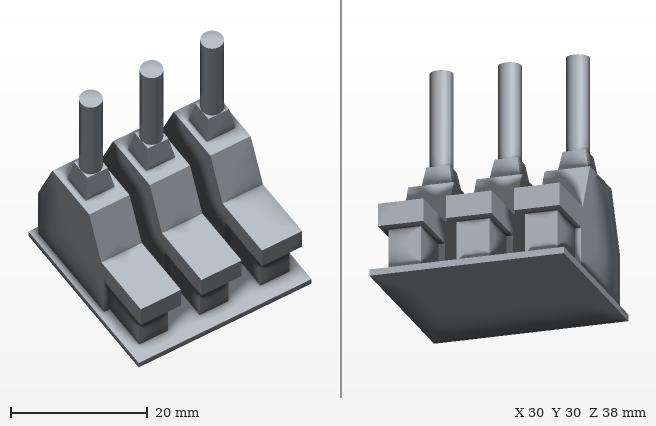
import cadquery as cq

plate_side = 30.0
plate_height = 1.0

plug_count = 3
plate_margin = 1.0
plug_width = 7.0
body_height = 18.0
shoulder_height = 9.0
latch_top = 10.5
latch_thickness = 3.5
body_length = 18.0
rear_slope_run = 4.0
top_length = 10.0
nose_length = 8.0
nose_width = 5.0

boot_base = 5.0
boot_top = 3.57
boot_height = 4.0
cable_diameter = 3.5
total_height = 38.0

row_side = plate_side - 2 * plate_margin
plug_pitch = (row_side - plug_width) / (plug_count - 1)
rear_x = -row_side / 2
latch_end_x = row_side / 2
latch_bottom = latch_top - latch_thickness
step_x = rear_x + body_length
top_rear_x = rear_x + rear_slope_run
top_front_x = top_rear_x + top_length
slope_run_per_height = rear_slope_run / (body_height - shoulder_height)
front_slope_run = (body_height - latch_top) * slope_run_per_height
cable_x = (top_rear_x + top_front_x) / 2
boot_z = plate_height + body_height
cable_z = boot_z + boot_height


def make_body():
    """Side profile of the plug, centred on Y, with its foot on the plate."""
    profile = [
        (rear_x, 0),
        (rear_x, shoulder_height),
        (top_rear_x, body_height),
        (top_front_x, body_height),
        (top_front_x + front_slope_run, latch_top),
        (latch_end_x, latch_top),
        (latch_end_x, latch_bottom),
        (step_x, latch_bottom),
        (step_x, 0),
    ]
    return (
        cq.Workplane("XZ", origin=(0, 0, plate_height))
        .polyline(profile)
        .close()
        .extrude(plug_width / 2, both=True)
    )


def make_nose():
    """Block below the latch, against the step of the body."""
    return (
        cq.Workplane("XY", origin=(step_x, 0, plate_height))
        .box(nose_length, nose_width, latch_bottom, centered=(False, True, False))
    )


def make_boot():
    """Square tapered sleeve around the foot of the cable."""
    return (
        cq.Workplane("XY", origin=(cable_x, 0, boot_z))
        .rect(boot_base, boot_base)
        .workplane(offset=boot_height)
        .rect(boot_top, boot_top)
        .loft()
    )


def make_cable():
    return (
        cq.Workplane("XY", origin=(cable_x, 0, cable_z))
        .circle(cable_diameter / 2)
        .extrude(total_height - cable_z)
    )


def make_plug():
    return make_body().union(make_nose()).union(make_boot()).union(make_cable())


result = cq.Workplane("XY").box(plate_side, plate_side, plate_height, centered=(True, True, False))
plug = make_plug()
for index in range(plug_count):
    plug_y = (index - (plug_count - 1) / 2) * plug_pitch
    result = result.union(plug.translate((0, plug_y, 0)))